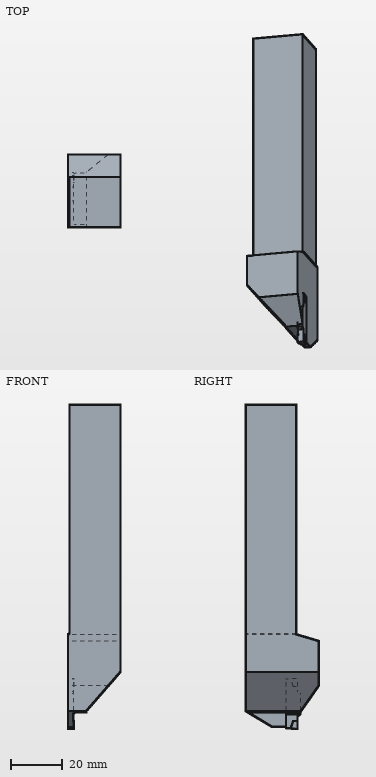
import cadquery as cq
import math

shank_side = 20.0
shank_depth = 19.7
total_height = 126.4

head_depth = 28.4
side_step = 0.57
step_rise = 0.44
step_z = 36.9
overhang_start_y = 20.0
overhang_top_z = 34.4
overhang_bottom_z = 16.9
nose_z = 0.9
nose_back_y = 17.2
nose_front_y = 10.2
front_bottom_z = 7.1
relief_top_z = 22.4
relief_width = 7.2
relief_land = 0.6
blade_top_z = 6.5
blade_thickness = 2.1
blade_fillet = 0.8

insert_length = 19.8
insert_mid_z = insert_length / 2
insert_back_y = 15.7
insert_face_y = 20.2
bulge_height = 1.1
bulge_half_length = 4.0
bulge_chamfer = 0.8
end_relief = 0.4
waist_recess = 0.06
cutting_width = 2.4
cutting_length = 3.2
cutting_shoulder_y = 18.5
cutting_tail_y = 17.4

shank_x = side_step
shank_far_x = shank_x + shank_side


def extrude_along_x(outline, start_x, end_x):
    """Extrude a closed outline of (y, z) from start_x to end_x."""
    return outline.extrude(end_x - start_x).translate((start_x, 0, 0))


def make_shank():
    height = total_height - step_z
    return cq.Workplane("XY").box(shank_side, shank_depth, height, centered=False).translate(
        (shank_x, 0, step_z)
    )


def make_head():
    outline = cq.Workplane("YZ").polyline([
        (0, step_z),
        (overhang_start_y, step_z),
        (head_depth, overhang_top_z),
        (head_depth, overhang_bottom_z),
        (nose_back_y, nose_z),
        (nose_front_y, nose_z),
        (0, front_bottom_z),
    ]).close()
    head = extrude_along_x(outline, 0, shank_far_x)
    fillet_mid = blade_fillet * (1 - math.sqrt(0.5))
    bounds = (
        cq.Workplane("XZ")
        .moveTo(0, 0)
        .lineTo(blade_thickness, 0)
        .lineTo(blade_thickness, blade_top_z - blade_fillet)
        .threePointArc(
            (blade_thickness + fillet_mid, blade_top_z - fillet_mid),
            (blade_thickness + blade_fillet, blade_top_z),
        )
        .lineTo(relief_width, blade_top_z)
        .lineTo(relief_width, blade_top_z + relief_land)
        .lineTo(shank_far_x, relief_top_z)
        .lineTo(shank_far_x, step_z)
        .lineTo(0, step_z)
        .close()
        .extrude(-head_depth)
    )
    return head.intersect(bounds)


def make_step():
    """Sloped face from the shank out to the wider head."""
    return (
        cq.Workplane("XZ")
        .polyline([(0, step_z), (shank_x, step_z), (shank_x, step_z + step_rise)])
        .close()
        .extrude(-shank_depth)
    )


def make_insert_body(near_x):
    """Middle of the insert, from near_x to the far side of the blade."""
    bulge_y = insert_face_y + bulge_height
    bulge_base = bulge_half_length + bulge_chamfer
    outline = cq.Workplane("YZ").polyline([
        (insert_back_y, end_relief),
        (insert_face_y, 0),
        (insert_face_y, insert_mid_z - bulge_base),
        (bulge_y, insert_mid_z - bulge_half_length),
        (bulge_y, insert_mid_z + bulge_half_length),
        (insert_face_y, insert_mid_z + bulge_base),
        (insert_face_y, insert_length),
        (insert_back_y, insert_length - end_relief),
    ]).close()
    return extrude_along_x(outline, near_x, blade_thickness)


def make_cutting_end():
    """Wider lower end of the insert, carrying the cutting edge."""
    end_slope = end_relief / (insert_face_y - insert_back_y)
    tail_z = end_slope * (insert_face_y - cutting_tail_y)
    outline = (
        cq.Workplane("YZ")
        .moveTo(insert_face_y, 0)
        .lineTo(insert_face_y, cutting_length)
        .lineTo(cutting_shoulder_y, cutting_length)
        .lineTo(cutting_tail_y, tail_z)
        .close()
    )
    return extrude_along_x(outline, 0, cutting_width)


def make_insert(near_x):
    """Insert whose middle starts at near_x; its cutting ends start at X = 0."""
    lower_end = make_cutting_end()
    upper_end = lower_end.mirror("XY", (0, 0, insert_mid_z))
    return make_insert_body(near_x).union(lower_end).union(upper_end)


insert = make_insert(waist_recess)
seat = make_insert(0)
holder = make_shank().union(make_head()).union(make_step()).cut(seat)

result = cq.Compound.makeCompound([holder.val(), insert.val()])